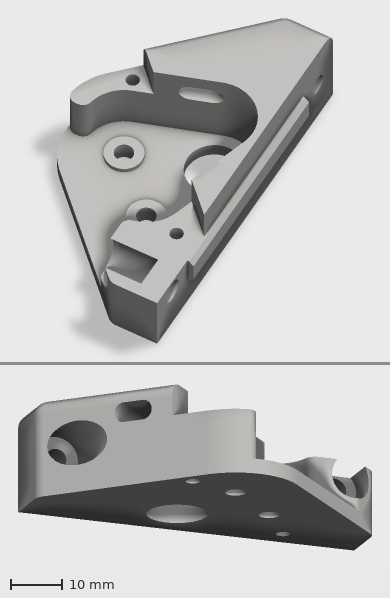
import cadquery as cq
import math

length = 70.0
body_width = 40.05
height = 20.0
floor_thickness = 3.0
step_height = 13.0
corner_radius = 3.0
top_fillet = 2.95
wall_fillet = 1.95
nose_radius = 13.0

boss_pitch = 11.35
boss_1 = (nose_radius, 0)
boss_2 = (boss_1[0] + boss_pitch, -boss_pitch)
opening = (boss_1[0] + 1.5 * boss_pitch, 0.5 * boss_pitch)
opening_diameter = 12.0
boss_diameter = 8.0
boss_height = 1.0
boss_hole_diameter = 4.0
pocket_radius = 8.5

step_offset = 23.7

bore_y = 29.0
bore_z = 10.0
counterbore_diameter = 9.0
counterbore_end_x = 35.0
rear_bore_diameter = 4.2
front_bore_diameter = 5.0

slot_width = 8.0
slot_height = 4.0
slot_z = 15.0

pin_diameter = 2.8
pin_centres = [(9.2, 10.35), (35.0, -18.3)]

rail_length = 46.05
rail_depth = 1.4
rail_bottom = 6.85
rail_chamfer = 1.0

half_length = length / 2
diagonal_run = nose_radius / math.sqrt(2)
tangent_x = nose_radius - diagonal_run
corner_x = tangent_x + half_length - diagonal_run


def upright_cylinder(centre, diameter, bottom, top):
    return cq.Workplane(origin=(*centre, bottom)).circle(diameter / 2).extrude(top - bottom)


def body_prism(bottom, top):
    """Outer outline of the bracket, with its two diagonal corners rounded."""
    prism = (
        cq.Workplane(origin=(0, 0, bottom))
        .moveTo(body_width, -half_length)
        .lineTo(body_width, half_length)
        .lineTo(corner_x, half_length)
        .lineTo(tangent_x, diagonal_run)
        .threePointArc((0, 0), (tangent_x, -diagonal_run))
        .lineTo(corner_x, -half_length)
        .close()
        .extrude(top - bottom)
    )
    for y in (-half_length, half_length):
        corner = cq.selectors.NearestToPointSelector((corner_x, y, (bottom + top) / 2))
        prism = prism.edges(corner).fillet(corner_radius)
    return prism


def pocket():
    """Tangent outline round the three centres, opened towards the front left."""
    depth = height - floor_thickness
    centres = [boss_1, boss_2, opening]
    plane = cq.Workplane(origin=(0, 0, floor_thickness))
    cutter = plane.polyline(centres).close().offset2D(pocket_radius).extrude(depth)
    quadrant = (
        plane.moveTo(boss_2[0], 0)
        .rect(-length, -length, centered=False)
        .extrude(depth)
    )
    return cutter.union(quadrant)


def walls():
    """Walls around the pocket, with the vertical edges of both wall ends rounded."""
    block = body_prism(floor_thickness, height)
    block = block.faces(">Z").edges("not >X").fillet(top_fillet)
    block = block.cut(raised_step_cutter()).cut(pocket())
    wall_end_y = -(boss_2[0] - tangent_x + diagonal_run)
    wall_ends = [
        (0, 0),
        (boss_1[0] - pocket_radius, 0),
        (boss_2[0], boss_2[1] - pocket_radius),
        (boss_2[0], wall_end_y),
    ]
    middle = (floor_thickness + step_height) / 2
    for x, y in wall_ends:
        edge = cq.selectors.NearestToPointSelector((x, y, middle))
        block = block.edges("|Z").edges(edge).fillet(wall_fillet)
    return block


def raised_step_cutter():
    return (
        cq.Workplane(origin=(0, 0, step_height))
        .moveTo(step_offset + length, -length)
        .lineTo(step_offset - length, length)
        .lineTo(-length, -length)
        .close()
        .extrude(height)
    )


def counterbored_hole(y, diameter):
    plane = cq.Workplane("YZ").center(y, bore_z)
    hole = plane.circle(diameter / 2).extrude(body_width)
    counterbore = plane.circle(counterbore_diameter / 2).extrude(counterbore_end_x)
    return hole.union(counterbore)


def wall_slot():
    """Slot running square to the rear diagonal, ending inside the pocket."""
    plane = cq.Plane(origin=(*opening, slot_z), xDir=(1, 1, 0), normal=(-1, 1, 0))
    return cq.Workplane(plane).slot2D(slot_width, slot_height).extrude(length)


def rail():
    rail_height = step_height - rail_bottom
    return (
        cq.Workplane("XY")
        .box(rail_depth, rail_length, rail_height)
        .faces(">X")
        .edges("|Y")
        .chamfer(rail_chamfer)
        .translate((body_width + rail_depth / 2, 0, rail_bottom + rail_height / 2))
    )


base = body_prism(0, floor_thickness)
boss_top = floor_thickness + boss_height
for centre in (boss_1, boss_2):
    base = base.union(upright_cylinder(centre, boss_diameter, 0, boss_top))
    base = base.cut(upright_cylinder(centre, boss_hole_diameter, 0, height))
base = base.cut(upright_cylinder(opening, opening_diameter, 0, height))

result = base.union(walls()).union(rail())
result = result.cut(wall_slot())
for centre in pin_centres:
    result = result.cut(upright_cylinder(centre, pin_diameter, 0, height))
result = result.cut(counterbored_hole(bore_y, rear_bore_diameter))
result = result.cut(counterbored_hole(-bore_y, front_bore_diameter)).solids()